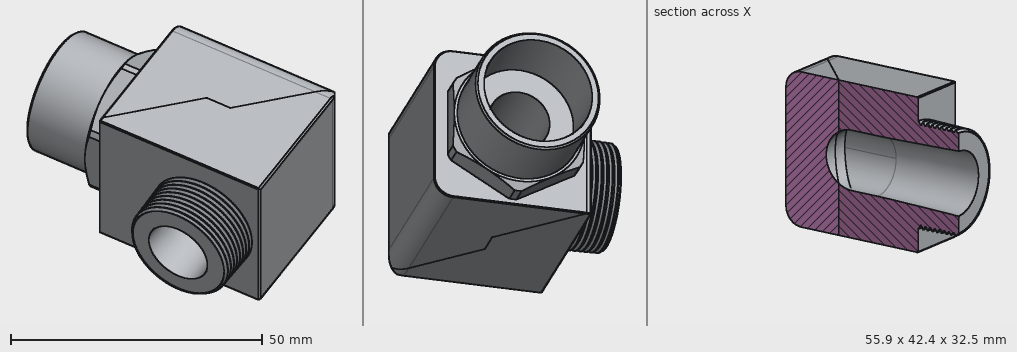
import cadquery as cq
import math


block_size = 32.5
half_block = block_size / 2
block_length = 37.05
outlet_to_block_end = 13.0
block_end_x = outlet_to_block_end
block_start_x = block_end_x - block_length
outlet_face_y = -half_block
corner_radius = 3.9
edge_chamfer = 0.2
end_chamfer = 0.4

total_length = 55.9
sleeve_start_x = block_end_x - total_length
sleeve_length = 13.9
hexagon_length = total_length - block_length - sleeve_length
hexagon_start_x = block_start_x - hexagon_length
hexagon_flats = 26.95
hexagon_corner_radius = 15.15
hexagon_chamfer_angle = 30.0
sleeve_radius = 12.85
sleeve_chamfer = 0.4
socket_radius = 11.2
bore_radius = 6.25

spigot_length = 9.9
spigot_end_y = outlet_face_y - spigot_length
thread_ridges = 8
last_ridge_distance = 9.15
thread_pitch = last_ridge_distance / thread_ridges
thread_root_radius = 10.5
thread_crest_radius = 11.3
thread_taper = 0.025
thread_crest_flat = 0.15
thread_end_radius = 10.6
mouth_radius = 6.75

parting_edge_offset = 0.95
parting_rise = half_block - parting_edge_offset
step_start_x = block_start_x + parting_rise
step_end_x = block_end_x - half_block


def along_x(radius, start_x, end_x):
    """Cylinder on the inlet axis."""
    return cq.Workplane("YZ", origin=(start_x, 0, 0)).circle(radius).extrude(end_x - start_x)


def make_block():
    """Box with three rounded edges on +Y and small chamfers round its -X, +X and -Y faces."""
    box = cq.Workplane("XY").box(block_length, block_size, block_size)
    box = box.translate((block_start_x + block_length / 2, 0, 0))
    rounded = box.faces(">Y").edges(">Z or <Z or >X").fillet(corner_radius)
    rounded = rounded.faces("<X").edges().chamfer(edge_chamfer)
    chamfered = box.faces(">X").edges(">Z or <Z or <Y").chamfer(end_chamfer)
    chamfered = chamfered.faces("<Y").edges(">Z or <Z").chamfer(edge_chamfer)
    return rounded.intersect(chamfered)


def make_hexagon():
    """Hexagon whose corners are turned to a cylinder and chamfered at the -X end."""
    corner_diameter = hexagon_flats / math.cos(math.pi / 6)
    hexagon = (
        cq.Workplane("YZ", origin=(hexagon_start_x, 0, 0))
        .polygon(6, corner_diameter)
        .extrude(hexagon_length)
        .rotate((0, 0, 0), (1, 0, 0), 90)
    )
    face_radius = hexagon_flats / 2
    chamfer_length = (hexagon_corner_radius - face_radius) * math.tan(math.radians(hexagon_chamfer_angle))
    turned_blank = (
        cq.Workplane("XY")
        .moveTo(hexagon_start_x, 0)
        .lineTo(hexagon_start_x, face_radius)
        .lineTo(hexagon_start_x + chamfer_length, hexagon_corner_radius)
        .lineTo(block_start_x, hexagon_corner_radius)
        .lineTo(block_start_x, 0)
        .close()
        .revolve(360, (0, 0, 0), (1, 0, 0))
    )
    return hexagon.intersect(turned_blank)


def make_sleeve():
    sleeve = along_x(sleeve_radius, sleeve_start_x, hexagon_start_x)
    return sleeve.faces("<X").edges().chamfer(sleeve_chamfer)


def make_spigot():
    """Spigot with ring-shaped thread ridges, the first one half sunk in the block face."""
    half_flat = thread_crest_flat / 2
    points = [(0, outlet_face_y), (thread_crest_radius, outlet_face_y)]
    for ridge in range(thread_ridges + 1):
        distance = ridge * thread_pitch
        crest_y = outlet_face_y - distance
        crest_radius = thread_crest_radius - thread_taper * distance
        if ridge > 0:
            points.append((crest_radius, crest_y + half_flat))
        points.append((crest_radius, crest_y - half_flat))
        points.append((thread_root_radius, crest_y - thread_pitch / 2))
    points.append((thread_end_radius, spigot_end_y))
    points.append((0, spigot_end_y))
    return cq.Workplane("XY").polyline(points).close().revolve(360, (0, 0, 0), (0, 1, 0))


def make_inlet_bore():
    """Bore along X, cut off at 45 degrees where it turns into the outlet bore."""
    bore = along_x(bore_radius, sleeve_start_x, bore_radius)
    miter = (
        cq.Workplane("XY")
        .moveTo(sleeve_start_x, sleeve_start_x)
        .lineTo(bore_radius, bore_radius)
        .lineTo(sleeve_start_x, bore_radius)
        .close()
        .extrude(bore_radius, both=True)
    )
    return bore.intersect(miter)


def make_outlet_bore():
    """Bore along Y: cylinder up to the 45 degree turn, tapering open to the spigot mouth."""
    bore = (
        cq.Workplane("XY")
        .moveTo(0, spigot_end_y)
        .lineTo(mouth_radius, spigot_end_y)
        .lineTo(bore_radius, -bore_radius)
        .lineTo(bore_radius, bore_radius)
        .lineTo(0, bore_radius)
        .close()
        .revolve(360, (0, 0, 0), (0, 1, 0))
    )
    miter = (
        cq.Workplane("XY")
        .moveTo(-mouth_radius, -mouth_radius)
        .lineTo(bore_radius, bore_radius)
        .lineTo(mouth_radius, bore_radius)
        .lineTo(mouth_radius, spigot_end_y)
        .lineTo(-mouth_radius, spigot_end_y)
        .close()
        .extrude(mouth_radius, both=True)
    )
    return bore.intersect(miter)


def make_inlet_side():
    """Region of space on the inlet side of the stepped parting surface."""
    reach = total_length
    return (
        cq.Workplane("XY")
        .moveTo(block_start_x, -parting_rise)
        .lineTo(step_start_x, 0)
        .lineTo(step_end_x, 0)
        .lineTo(step_end_x + reach, reach)
        .lineTo(sleeve_start_x, reach)
        .lineTo(sleeve_start_x, -parting_rise)
        .close()
        .extrude(reach, both=True)
    )


block = make_block()
inlet_side = make_inlet_side()
socket = along_x(socket_radius, sleeve_start_x, hexagon_start_x)
passage = make_inlet_bore().union(make_outlet_bore())

inlet_half = (
    block.intersect(inlet_side)
    .union(make_hexagon())
    .union(make_sleeve())
    .cut(passage)
    .cut(socket)
)
outlet_half = block.cut(inlet_side).union(make_spigot()).cut(passage)

result = cq.Compound.makeCompound([inlet_half.val(), outlet_half.val()])